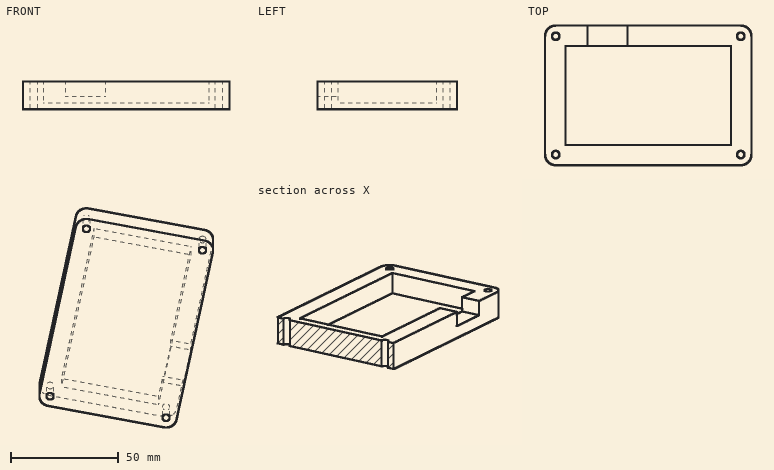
import cadquery as cq

length = 96.0
width = 65.0
height = 13.0
corner_radius = 5.0

wall = 9.5
pocket_depth = 10.0

notch_width = 18.5
notch_depth = 7.0
notch_offset = 19.8

hole_diameter = 3.4


def make_block():
    block = cq.Workplane("XY").box(length, width, height, centered=(True, True, False))
    return block.edges("|Z").fillet(corner_radius)


def make_pocket():
    return (
        cq.Workplane("XY", origin=(0, 0, height))
        .rect(length - 2 * wall, width - 2 * wall)
        .extrude(-pocket_depth)
    )


def make_notch():
    center_x = -length / 2 + notch_offset + notch_width / 2
    center_y = width / 2 - wall / 2
    return (
        cq.Workplane("XY", origin=(center_x, center_y, height))
        .rect(notch_width, wall)
        .extrude(-notch_depth)
    )


def make_corner_holes():
    return (
        cq.Workplane("XY")
        .rect(length - 2 * corner_radius, width - 2 * corner_radius, forConstruction=True)
        .vertices()
        .circle(hole_diameter / 2)
        .extrude(height)
    )


result = make_block().cut(make_pocket()).cut(make_notch()).cut(make_corner_holes())